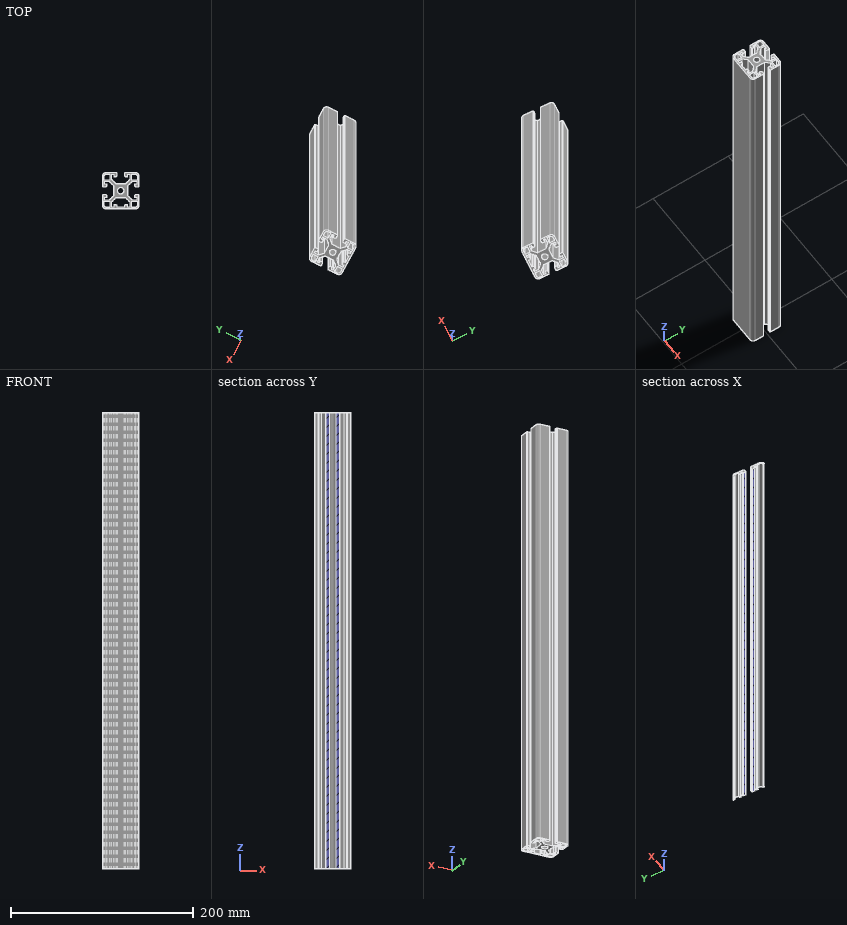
import cadquery as cq

length = 500.0
width = 40.0
half = width / 2
corner_radius = 4.0

mouth_half = 4.0
mouth_chamfer = 0.75
slot_half = 10.0
face_wall = 2.25
hook_depth = 4.75
hook_outer = 7.5
hook_chamfer = 1.0
undercut_depth = 7.5
floor_depth = hook_depth + undercut_depth

strut_offset = 2.5

chamber_inner = 12.0
chamber_side_wall = 1.5
chamber_end_wall = 2.0
chamber_radius = 3.0

bore_radius = 3.4

slot_count = 4
covered_slot = 2


def t_slot(is_open):
    """Full-length T-slot facing +Y, with hooked lips; a covered slot keeps its outer wall."""
    floor = half - floor_depth
    wall_face = half - face_wall
    hook_face = half - hook_depth
    right_side = [
        (floor - strut_offset, floor),
        (slot_half, slot_half + strut_offset),
        (slot_half, wall_face),
        (hook_outer, wall_face),
        (hook_outer, hook_face),
        (mouth_half + hook_chamfer, hook_face),
        (mouth_half, hook_face + hook_chamfer),
    ]
    if is_open:
        right_side += [
            (mouth_half, half - mouth_chamfer),
            (mouth_half + mouth_chamfer, half),
        ]
    else:
        right_side.append((mouth_half, wall_face))
    left_side = [(-x, y) for x, y in reversed(right_side)]
    return cq.Workplane("XY").polyline(right_side + left_side).close().extrude(length)


def corner_chamber():
    """Full-length chamber in the +X +Y corner, rounded on its outermost edge."""
    size_x = half - chamber_side_wall - chamber_inner
    size_y = half - chamber_end_wall - chamber_inner
    return (
        cq.Workplane("XY")
        .rect(size_x, size_y, centered=False)
        .extrude(length)
        .edges("|Z and >X and >Y")
        .fillet(chamber_radius)
        .translate((chamber_inner, chamber_inner, 0))
    )


result = (
    cq.Workplane("XY")
    .rect(width, width)
    .extrude(length)
    .edges("|Z")
    .fillet(corner_radius)
    .faces(">Z")
    .workplane()
    .hole(2 * bore_radius)
)

for index in range(slot_count):
    slot = t_slot(is_open=index != covered_slot)
    result = result.cut(slot.rotate((0, 0, 0), (0, 0, 1), index * 360 / slot_count))

right_rear = corner_chamber()
left_rear = right_rear.mirror("YZ")
for chamber in (right_rear, left_rear):
    result = result.cut(chamber)
    result = result.cut(chamber.mirror("XZ"))